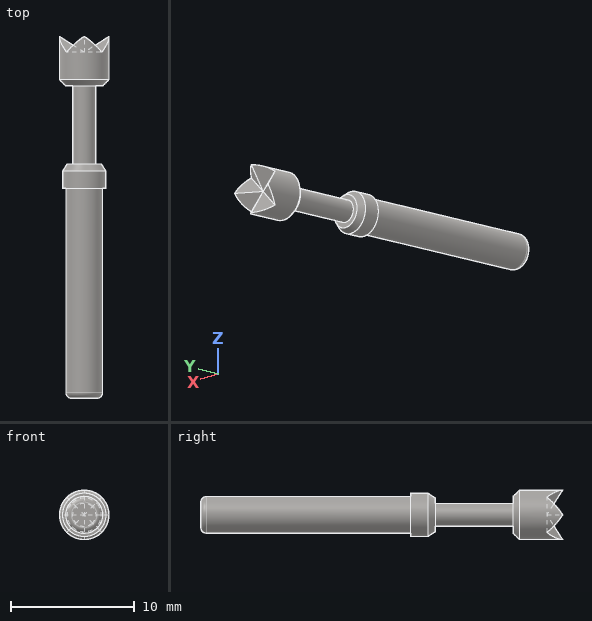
import cadquery as cq
import math

total_length = 29.3

barrel_radius = 1.5
barrel_length = 17.0
end_rounding = 0.47

collar_radius = 1.75
collar_length = 2.0
collar_chamfer_radial = 0.38
collar_chamfer_length = 0.6

plunger_radius = 0.95

head_radius = 2.007
head_length = 4.0
head_chamfer = 0.5
crown_depth = 1.3

collar_end = barrel_length + collar_length
head_start = total_length - head_length


def turned_body():
    """Barrel, collar, plunger and head as one half profile revolved about Y."""
    arc_inset = end_rounding * (1 - math.sqrt(0.5))
    profile = (
        cq.Workplane("XY")
        .lineTo(barrel_radius - end_rounding, 0)
        .threePointArc((barrel_radius - arc_inset, arc_inset), (barrel_radius, end_rounding))
        .lineTo(barrel_radius, barrel_length)
        .lineTo(collar_radius, barrel_length)
        .lineTo(collar_radius, collar_end - collar_chamfer_length)
        .lineTo(collar_radius - collar_chamfer_radial, collar_end)
        .lineTo(plunger_radius, collar_end)
        .lineTo(plunger_radius, head_start)
        .lineTo(head_radius - head_chamfer, head_start)
        .lineTo(head_radius, head_start + head_chamfer)
        .lineTo(head_radius, total_length)
        .lineTo(0, total_length)
        .close()
    )
    return profile.revolve(360, (0, 0, 0), (0, 1, 0))


def crown_groove(angle):
    """V groove across the head end, turned about Y; its flanks reach the tips on the X and Z axes."""
    tip_offset = head_radius * math.sqrt(0.5)
    overshoot = 2.0
    half_width = tip_offset * overshoot
    groove_bottom = total_length - crown_depth
    groove_top = groove_bottom + crown_depth * overshoot
    return (
        cq.Workplane("XY")
        .moveTo(0, groove_bottom)
        .lineTo(half_width, groove_top)
        .lineTo(-half_width, groove_top)
        .close()
        .extrude(2 * head_radius, both=True)
        .rotate((0, 0, 0), (0, 1, 0), angle)
    )


result = turned_body()
for groove_angle in (45, 135):
    result = result.cut(crown_groove(groove_angle))